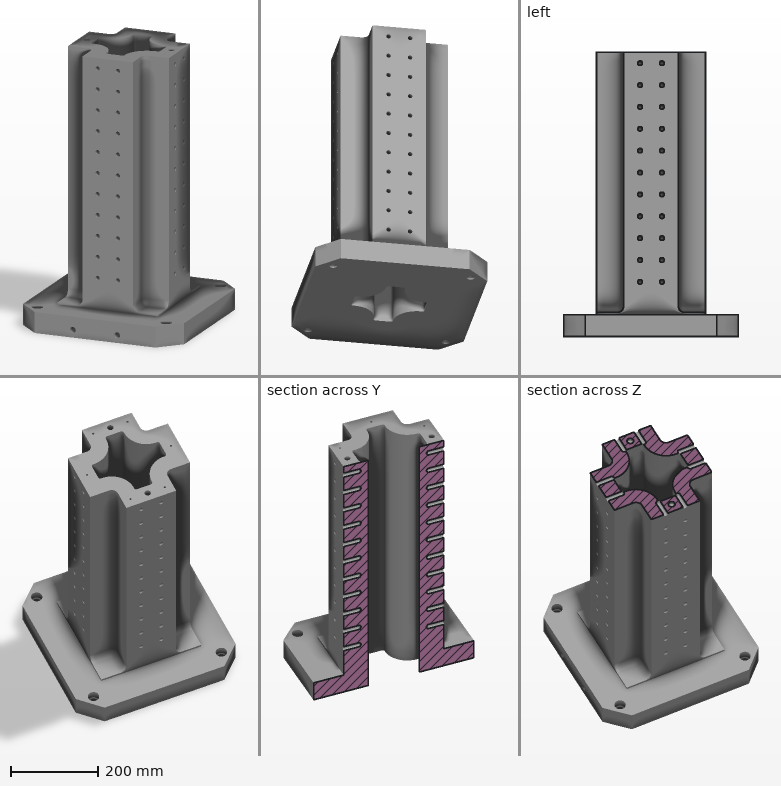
import cadquery as cq
import math

height = 650.0
base_side = 400.0
base_height = 50.0
base_chamfer = 50.0

column_side = 250.0
arm_width = 125.0
pad_height = 5.0
corner_fillet = 15.0
column_face = column_side / 2
corner_floor = base_height + pad_height

wall = 40.0
cavity_arm_width = 45.0
cavity_arc_radius = 55.0
cavity_fillet = 5.0
cavity_end = column_face - wall

drill_point_angle = 118.0

tap_diameter = 10.5
tap_depth = wall
pitches_in_height = 13
tap_pitch = height / pitches_in_height
tap_rows = 11
top_tap_inset = tap_pitch / 2

lift_diameter = 14.0
lift_depth = 32.5
base_lift_spacing = 110.0
base_lift_height = 18.0

pin_diameter = 5.0
pin_depth = 16.0
top_hole_radius = column_face - wall / 2
side_pin_offset = 43.0

mount_spacing = 320.0
mount_diameter = 18.0
mount_bore_diameter = 26.0
mount_bore_depth = 18.0


def blind_hole(origin, direction, diameter, depth):
    """Drill cutter: a cylinder of the given depth followed by a conical drill point."""
    radius = diameter / 2
    point_length = radius / math.tan(math.radians(drill_point_angle / 2))
    start = cq.Vector(*origin)
    axis = cq.Vector(*direction)
    barrel = cq.Solid.makeCylinder(radius, depth, start, axis)
    point = cq.Solid.makeCone(radius, 0, point_length, start + axis * depth, axis)
    return cq.Workplane(barrel.fuse(point))


def quarter_turn(x, y, turns):
    """Turn a point about the origin by a number of quarter turns, counterclockwise."""
    for _ in range(turns):
        x, y = -y, x
    return x, y


def spin(cutter, quarter):
    """Turn a cutter about the column axis by a number of quarter turns."""
    return cutter.rotate((0, 0, 0), (0, 0, 1), 90 * quarter)


def make_base():
    """Square plate with chamfered corners."""
    plate = cq.Workplane().box(base_side, base_side, base_height, centered=(True, True, False))
    return plate.edges("|Z").chamfer(base_chamfer)


def make_column():
    """Square block with a rounded-floor cut at each corner, above a thin square pad."""
    column = (
        cq.Workplane()
        .workplane(offset=base_height)
        .rect(column_side, column_side)
        .extrude(height - base_height)
    )
    cutter = (
        cq.Workplane()
        .box(column_side, column_side, height, centered=False)
        .edges("(<X and <Y) or (<X and <Z) or (<Y and <Z)")
        .fillet(corner_fillet)
        .translate((arm_width / 2, arm_width / 2, corner_floor))
    )
    for quarter in range(4):
        column = column.cut(spin(cutter, quarter))
    return column


def make_cavity():
    """Cross whose inner corners bulge inwards as arcs tangent to the arm sides."""
    half_width = cavity_arm_width / 2
    tangent = half_width + cavity_arc_radius
    arc_middle = tangent - cavity_arc_radius * math.sqrt(0.5)

    outline = cq.Workplane().moveTo(cavity_end, -half_width)
    for quarter in range(4):
        outline = (
            outline.lineTo(*quarter_turn(cavity_end, half_width, quarter))
            .lineTo(*quarter_turn(tangent, half_width, quarter))
            .threePointArc(
                quarter_turn(arc_middle, arc_middle, quarter),
                quarter_turn(half_width, tangent, quarter),
            )
        )
        if quarter < 3:
            outline = outline.lineTo(*quarter_turn(half_width, cavity_end, quarter))
    cavity = outline.close().extrude(height)
    return cavity.faces("<X or >X or <Y or >Y").edges("|Z").fillet(cavity_fillet)


def drill_column_faces(part):
    """Two columns of tapped holes on each of the four column faces."""
    for row in range(tap_rows):
        z = height - top_tap_inset - row * tap_pitch
        for x in (-tap_pitch / 2, tap_pitch / 2):
            hole = blind_hole((x, -column_face, z), (0, 1, 0), tap_diameter, tap_depth)
            for quarter in range(4):
                part = part.cut(spin(hole, quarter))
    return part


def drill_top(part):
    """Lifting holes on the X arms and small pin holes on all arms."""
    down = (0, 0, -1)
    for side in (-1, 1):
        reach = side * top_hole_radius
        part = part.cut(blind_hole((reach, 0, height), down, lift_diameter, lift_depth))
        pins = [(0, reach), (reach, side_pin_offset), (reach, -side_pin_offset)]
        for x, y in pins:
            part = part.cut(blind_hole((x, y, height), down, pin_diameter, pin_depth))
    return part


def drill_base_front(part):
    """Pair of lifting holes in the front side of the base."""
    for x in (-base_lift_spacing / 2, base_lift_spacing / 2):
        origin = (x, -base_side / 2, base_lift_height)
        part = part.cut(blind_hole(origin, (0, 1, 0), lift_diameter, lift_depth))
    return part


def drill_mounting_holes(part):
    """Counterbored through hole near each corner of the base."""
    return (
        part.copyWorkplane(cq.Workplane(origin=(0, 0, base_height)))
        .rect(mount_spacing, mount_spacing, forConstruction=True)
        .vertices()
        .cboreHole(mount_diameter, mount_bore_diameter, mount_bore_depth, base_height)
    )


result = make_base().union(make_column()).cut(make_cavity())
result = drill_mounting_holes(result)
result = drill_column_faces(result)
result = drill_top(result)
result = drill_base_front(result)